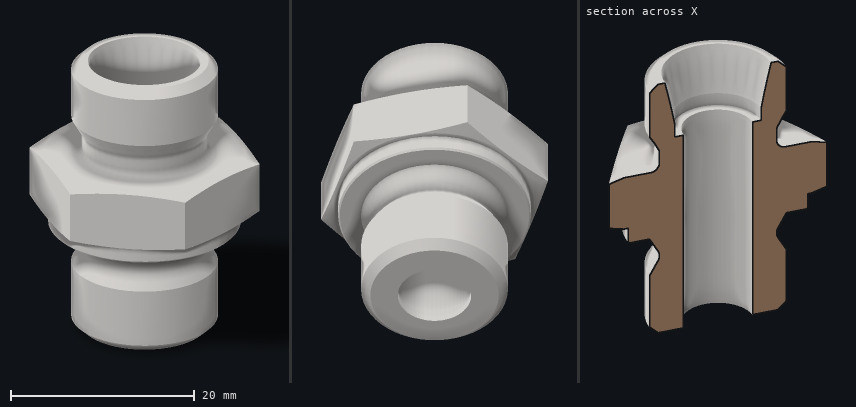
import cadquery as cq
import math

total_height = 31.5
hex_bottom = 13.95
hex_top = 20.5
collar_bottom = 12.05

hex_across_flats = 22.02
hex_envelope_margin = 0.3
hex_face_diameter = 21.92
hex_chamfer_angle = math.radians(15)
collar_diameter = 21.0
collar_chamfer = 0.2

thread_radius = 16.0 / 2
end_chamfer_width = 1.0
end_chamfer_height = 0.95
upper_thread_bottom = 25.0
lower_thread_top = 7.45

neck_radius = 13.7 / 2
runout_angle = math.radians(30)
blend_radius = 1.0
lower_groove_radius = 1.15

through_diameter = 8.0
socket_radius = 10.0 / 2
socket_depth = 7.05
seat_top_radius = 6.17
seat_half_angle = math.radians(12)


def arc_point(center, radius, angle):
    """Point (r, z) on a circle, with the angle measured from +r."""
    return (center[0] + radius * math.cos(angle), center[1] + radius * math.sin(angle))


def make_turned_body():
    """Solid of revolution: both threaded ends, their undercuts and the collar."""
    groove_center = (neck_radius + lower_groove_radius, (collar_bottom + lower_thread_top) / 2)
    groove_low = arc_point(groove_center, lower_groove_radius, math.pi + runout_angle)
    groove_mid = arc_point(groove_center, lower_groove_radius, math.pi)
    groove_high = arc_point(groove_center, lower_groove_radius, math.pi - runout_angle)

    root_center = (neck_radius + blend_radius, hex_top + blend_radius)
    root_mid = arc_point(root_center, blend_radius, math.radians(225))

    blend_rise = blend_radius * math.sin(runout_angle)
    blend_end_radius = neck_radius + blend_radius * (1 - math.cos(runout_angle))
    cone_height = (thread_radius - blend_end_radius) / math.tan(runout_angle)
    blend_end_z = upper_thread_bottom - cone_height
    blend_start_z = blend_end_z - blend_rise
    blend_center = (neck_radius + blend_radius, blend_start_z)
    blend_mid = arc_point(blend_center, blend_radius, math.pi - runout_angle / 2)

    collar_radius = collar_diameter / 2
    end_radius = thread_radius - end_chamfer_width
    profile = (
        cq.Workplane("XZ")
        .moveTo(0, 0)
        .lineTo(end_radius, 0)
        .lineTo(thread_radius, end_chamfer_height)
        .lineTo(thread_radius, lower_thread_top)
        .lineTo(*groove_low)
        .threePointArc(groove_mid, groove_high)
        .lineTo(thread_radius, collar_bottom)
        .lineTo(collar_radius - collar_chamfer, collar_bottom)
        .lineTo(collar_radius, collar_bottom + collar_chamfer)
        .lineTo(collar_radius, hex_top)
        .lineTo(root_center[0], hex_top)
        .threePointArc(root_mid, (neck_radius, root_center[1]))
        .lineTo(neck_radius, blend_start_z)
        .threePointArc(blend_mid, (blend_end_radius, blend_end_z))
        .lineTo(thread_radius, upper_thread_bottom)
        .lineTo(thread_radius, total_height - end_chamfer_height)
        .lineTo(end_radius, total_height)
        .lineTo(0, total_height)
        .close()
    )
    return profile.revolve(360, (0, 0, 0), (0, 1, 0))


def make_hexagon():
    """Hexagon with flats facing +/-X, its corners turned down on both faces."""
    across_corners = hex_across_flats / math.cos(math.radians(30))
    prism = (
        cq.Workplane("XY")
        .workplane(offset=hex_bottom)
        .polygon(6, across_corners)
        .extrude(hex_top - hex_bottom)
        .rotate((0, 0, 0), (0, 0, 1), 30)
    )
    face_radius = hex_face_diameter / 2
    outer_radius = across_corners / 2 + hex_envelope_margin
    drop = (outer_radius - face_radius) * math.tan(hex_chamfer_angle)
    envelope = (
        cq.Workplane("XZ")
        .polyline([
            (0, hex_bottom),
            (face_radius, hex_bottom),
            (outer_radius, hex_bottom + drop),
            (outer_radius, hex_top - drop),
            (face_radius, hex_top),
            (0, hex_top),
        ])
        .close()
        .revolve(360, (0, 0, 0), (0, 1, 0))
    )
    return prism.intersect(envelope)


def make_bore():
    """Through hole opening into the tube socket and conical seat at the top."""
    through_radius = through_diameter / 2
    seat_depth = (seat_top_radius - socket_radius) / math.tan(seat_half_angle)
    socket_floor = total_height - socket_depth
    return (
        cq.Workplane("XZ")
        .polyline([
            (0, 0),
            (through_radius, 0),
            (through_radius, socket_floor),
            (socket_radius, socket_floor),
            (socket_radius, total_height - seat_depth),
            (seat_top_radius, total_height),
            (0, total_height),
        ])
        .close()
        .revolve(360, (0, 0, 0), (0, 1, 0))
    )


result = make_turned_body().union(make_hexagon()).cut(make_bore())